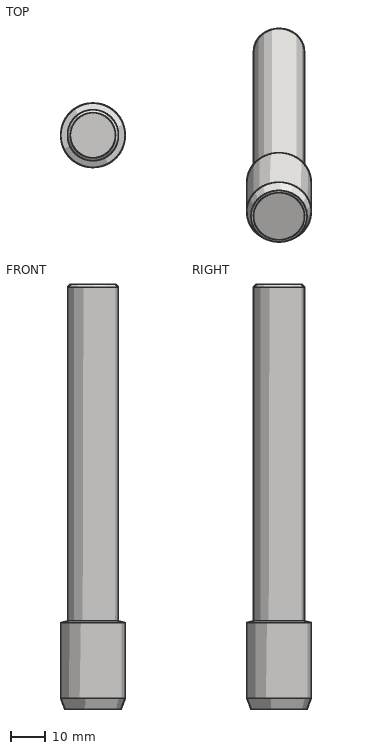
import cadquery as cq

total_height = 125.0

rod_radius = 7.5
rod_chamfer = 0.9

sleeve_radius = 9.5
sleeve_height = 26.0
shoulder_drop = 0.5
nose_height = 3.2
nose_inset = 1.2


def make_rod():
    """Straight rod over the full height, chamfered at its upper end."""
    rod = cq.Workplane("XY").circle(rod_radius).extrude(total_height)
    return rod.faces(">Z").chamfer(rod_chamfer)


def make_sleeve():
    """Revolved sleeve with a tapered nose, a conical top face and a bore that fits the rod."""
    return (
        cq.Workplane("XZ")
        .moveTo(rod_radius, 0)
        .lineTo(sleeve_radius - nose_inset, 0)
        .lineTo(sleeve_radius, nose_height)
        .lineTo(sleeve_radius, sleeve_height - shoulder_drop)
        .lineTo(rod_radius, sleeve_height)
        .close()
        .revolve(360, (0, 0, 0), (0, 1, 0))
    )


rod = make_rod()
sleeve = make_sleeve()

result = cq.Compound.makeCompound([rod.val(), sleeve.val()])